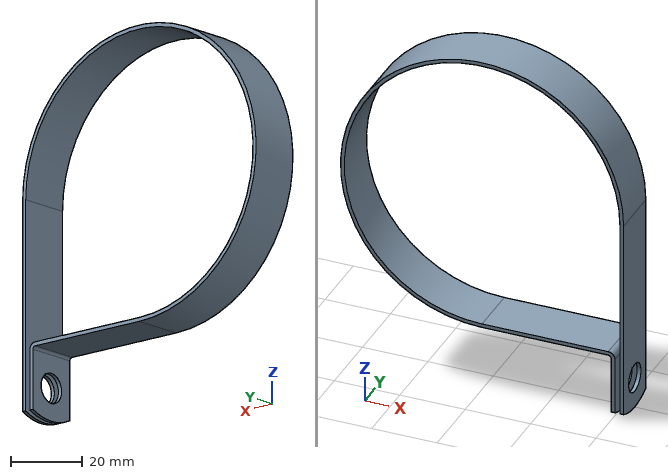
import cadquery as cq
import math

loop_diameter = 86.5
overall_height = 106.7
strap_width = 15.9
strap_thickness = 1.2
tab_gap = 1.5
bend_inner_radius = 0.9
hole_diameter = 8.8
hole_height = 9.6
tip_rise = 1.8

outer_radius = loop_diameter / 2
inner_radius = outer_radius - strap_thickness
tip_z = outer_radius - overall_height
bend_outer_radius = bend_inner_radius + strap_thickness
short_tab_outer_x = inner_radius - tab_gap
bend_x = short_tab_outer_x - bend_outer_radius
bend_z = -outer_radius - bend_inner_radius
half_width = strap_width / 2


def upper_left_point(radius):
    """Middle of the three-quarter loop arc, 45 degrees up and to the left."""
    offset = radius / math.sqrt(2)
    return (-offset, offset)


def make_strap():
    """Loop, long straight leg, flat floor and bent short tab."""
    profile = (
        cq.Workplane("XZ")
        .moveTo(outer_radius, tip_z)
        .lineTo(outer_radius, 0)
        .threePointArc(upper_left_point(outer_radius), (0, -outer_radius))
        .lineTo(bend_x, -outer_radius)
        .radiusArc((bend_x + bend_inner_radius, bend_z), bend_inner_radius)
        .lineTo(short_tab_outer_x - strap_thickness, tip_z)
        .lineTo(short_tab_outer_x, tip_z)
        .lineTo(short_tab_outer_x, bend_z)
        .radiusArc((bend_x, -inner_radius), -bend_outer_radius)
        .lineTo(0, -inner_radius)
        .threePointArc(upper_left_point(inner_radius), (inner_radius, 0))
        .lineTo(inner_radius, tip_z)
        .close()
    )
    return profile.extrude(strap_width).translate((0, half_width, 0))


def make_side_outline():
    """Side silhouette: a band with a rounded lower end, oversized past the loop."""
    return (
        cq.Workplane("YZ")
        .moveTo(-half_width, loop_diameter)
        .lineTo(-half_width, tip_z + tip_rise)
        .threePointArc((0, tip_z), (half_width, tip_z + tip_rise))
        .lineTo(half_width, loop_diameter)
        .close()
        .extrude(loop_diameter, both=True)
    )


def make_bolt_hole():
    """Cylinder passing through both tabs."""
    return (
        cq.Workplane("YZ")
        .center(0, tip_z + hole_height)
        .circle(hole_diameter / 2)
        .extrude(loop_diameter)
    )


result = make_strap().intersect(make_side_outline()).cut(make_bolt_hole())